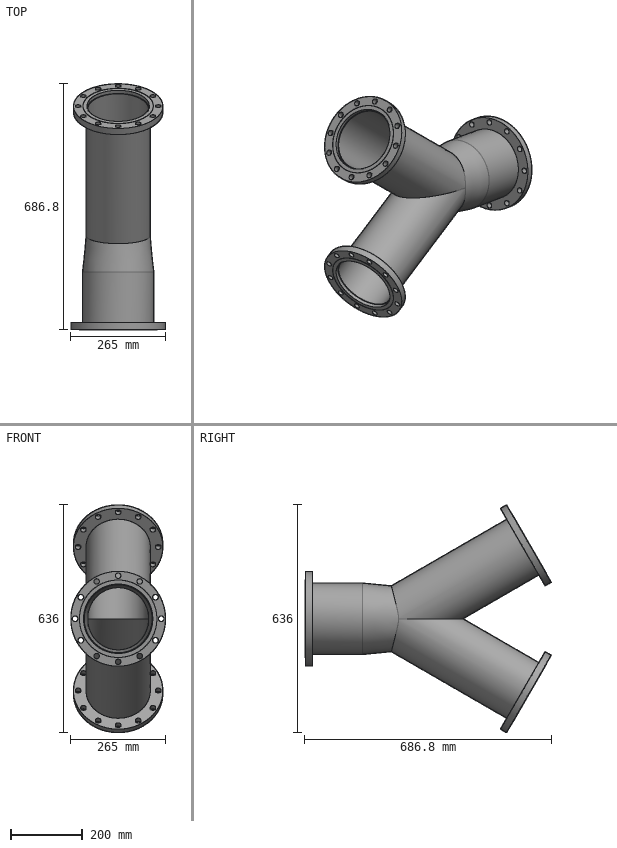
import cadquery as cq
import math

BRANCH_ANGLE = 30.0
BRANCH_LENGTH = 420.5
BRANCH_OUTER = 180.0
BRANCH_BORE = 170.0
TRUNK_LENGTH = 261.0
TRUNK_OUTER = 200.0
TRUNK_BORE = 190.0
REDUCER_END = 100.0

FLANGE_THICKNESS = 20.5
BRANCH_FLANGE = 250.0
BRANCH_FACE = 196.5
BRANCH_BOLT_CIRCLE = 224.0
TRUNK_FLANGE = 265.0
TRUNK_FACE = 216.5
TRUNK_BOLT_CIRCLE = 240.5
FACE_HEIGHT = 1.0
SOCKET_CLEARANCE = 4.0
SOCKET_DEPTH = 10.0
BOLT_HOLE = 15.0
BOLT_COUNT = 12


def axis_plane(angle, distance=0.0):
    """Plane square to a pipe axis tilted by angle from +Y towards +Z."""
    y = math.cos(math.radians(angle))
    z = math.sin(math.radians(angle))
    return cq.Plane(origin=(0, distance * y, distance * z), xDir=(1, 0, 0), normal=(0, y, z))


def flange(plane, diameter, face_diameter, bolt_circle):
    """Drilled flange with a raised face; the plane is its sealing face, normal outwards."""
    back = cq.Workplane(plane).workplane(offset=-FLANGE_THICKNESS)
    disc = back.circle(diameter / 2).extrude(FLANGE_THICKNESS - FACE_HEIGHT)
    raised_face = back.circle(face_diameter / 2).extrude(FLANGE_THICKNESS)
    holes = back.polarArray(bolt_circle / 2, 0, 360, BOLT_COUNT).circle(BOLT_HOLE / 2)
    return disc.union(raised_face).cut(holes.extrude(FLANGE_THICKNESS))


def socket(plane, bore):
    """Wider mouth of the bore, in front of the pipe end."""
    return cq.Workplane(plane).circle((bore + SOCKET_CLEARANCE) / 2).extrude(-SOCKET_DEPTH)


def pipe_body(branch_diameter, trunk_diameter):
    """Solid envelope of the two branches, the conical reducer and the trunk."""
    reducer = cq.Solid.makeCone(
        branch_diameter / 2,
        trunk_diameter / 2,
        REDUCER_END,
        pnt=cq.Vector(0, 0, 0),
        dir=cq.Vector(0, -1, 0),
    )
    trunk_start = cq.Workplane(axis_plane(180, REDUCER_END))
    envelope = trunk_start.circle(trunk_diameter / 2).extrude(TRUNK_LENGTH - REDUCER_END)
    envelope = envelope.union(cq.Workplane(reducer))
    for angle in (BRANCH_ANGLE, -BRANCH_ANGLE):
        branch_start = cq.Workplane(axis_plane(angle))
        envelope = envelope.union(branch_start.circle(branch_diameter / 2).extrude(BRANCH_LENGTH))
    return envelope


trunk_end = axis_plane(180, TRUNK_LENGTH)
branch_ends = [axis_plane(angle, BRANCH_LENGTH) for angle in (BRANCH_ANGLE, -BRANCH_ANGLE)]

body = pipe_body(BRANCH_OUTER, TRUNK_OUTER)
body = body.union(flange(trunk_end, TRUNK_FLANGE, TRUNK_FACE, TRUNK_BOLT_CIRCLE))
for end in branch_ends:
    body = body.union(flange(end, BRANCH_FLANGE, BRANCH_FACE, BRANCH_BOLT_CIRCLE))

body = body.cut(pipe_body(BRANCH_BORE, TRUNK_BORE))
body = body.cut(socket(trunk_end, TRUNK_BORE))
for end in branch_ends:
    body = body.cut(socket(end, BRANCH_BORE))

result = body.val().Solids()[0]